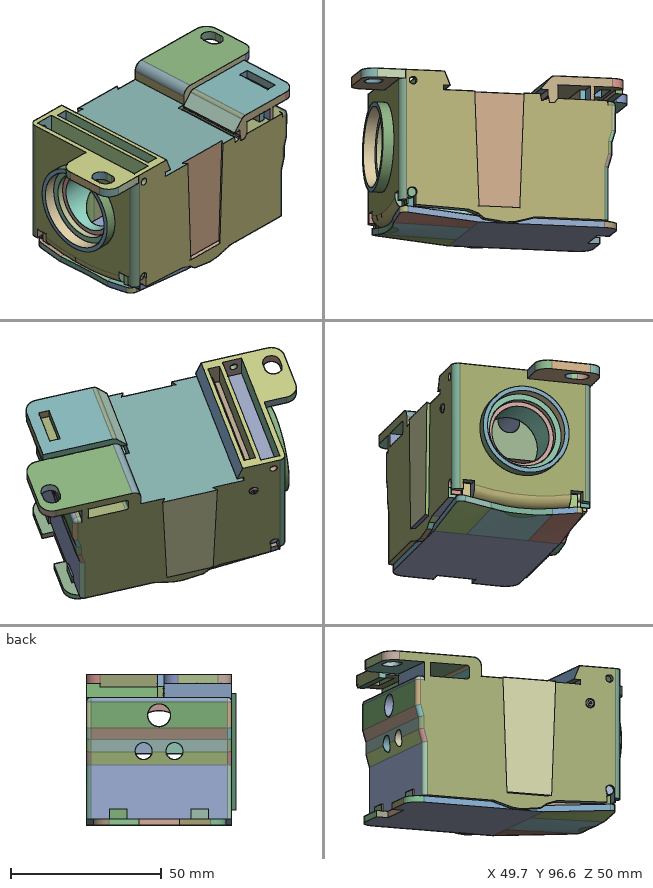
import cadquery as cq

WIDTH = 48.2
LENGTH = 96.6
HEIGHT = 50.0
MID_X = WIDTH / 2
PICK_MARGIN = 0.1
ROOT = 1.0

FRONT_Y = 12.3
RAIL_FLOOR_Z = 43.8
REAR_FLOOR_Z = 42.4
FLANK_BASE_Z = 2.1
FRONT_CORNER_R = 2.2
REAR_EDGE_R = 1.45
REAR_Y_TOP = 85.9
REAR_Y_STEP = 84.7
REAR_Y_LOW = 83.5
REAR_SLOPES_Z = (32.3, 28.5, 24.3, 20.0)
FLANK_FRONT_Z = 4.8
FLANK_BELLY = [(58.25, FLANK_BASE_Z), (51.7, 0.3), (48.3, 0.0), (41.0, 1.0), (38.8, 2.6), (35.4, 3.8)]

RAIL_FRONT_Y = 27.0
RAIL_REAR_Y = 62.6
HOOK_TIP_Z = 45.3
FRONT_HOOK_TIP_Y = 29.4
FRONT_HOOK_TOP_Y = 27.4

LUG_T = 3.0
LUG_CORNER_R = 4.5
LUG_WIDTH = 22.4
LUG_HOLE_LENGTH = 8.0
LUG_HOLE_DIA = 5.8
LUG_HOLE_EDGE_X = 7.5
LUG_HOLE_EDGE_Y = 5.0
LUG_BASE_Z = HEIGHT - LUG_T
REAR_LUG_FILLET = 3.0
REAR_LUG_WALL_Y = 83.1
WINDOW_Y = (66.9, 80.9)
WINDOW_CORNER_R = 1.0

NARROW_POCKET_X = (3.3, 45.0)
NARROW_POCKET_Y = (22.0, 26.0)
NARROW_POCKET_STEP_Y = 24.4
NARROW_POCKET_STEP_DEPTH = 4.8
WIDE_POCKET_X = (1.8, 46.4)
WIDE_POCKET_Y = (14.0, 20.6)
POCKET_DEPTH = 7.7
CROSS_HOLE_DIA = 2.5
CROSS_HOLE_Y = 16.7
CROSS_HOLE_Z = 46.5

ENTRY_Z = 28.0
COLLAR_DIA = 29.9
COLLAR_FRONT_Y = 8.6
CHAMBER_DIA = 18.1
CHAMBER_Y = 27.2
ENTRY_STEPS = ((26.95, 12.6), (23.0, 14.8), (19.9, CHAMBER_Y))
CHAMBER_BACK_Y = 36.7
CHAMBER_Z = (11.1, 23.7)
UPPER_OUTLET_DIA = 7.5
UPPER_OUTLET_Z = 36.5
LOWER_OUTLET_DIA = 5.6
LOWER_OUTLET_Z = 24.6
LOWER_OUTLET_OFFSET = 5.1

DOVETAIL_Y = 46.1
DOVETAIL_DEPTH = 1.45
DOVETAIL_SLOT_DEPTH = 1.5
DOVETAIL_UNDERCUT = 1.1
DOVETAIL_BASE_Z = 5.0
DOVETAIL_HALF_TOP = 9.5
DOVETAIL_HALF_BASE = 8.0

STUD_DIA = 3.1
STUD_Y = 23.7
STUD_Z = 37.6
STUD_HEIGHT = 0.7
STUD_CHAMFER = 0.5
STUD_DIMPLE_DIA = 0.8
STUD_DIMPLE_DEPTH = 0.3

COVER_X = (1.9, 45.9)
COVER_Y = (13.1, 87.6)
COVER_FRONT_R = 2.4
COVER_REAR_R = 5.1
COVER_BEND_Y = 39.6
COVER_T = FLANK_BASE_Z
COVER_SIDE_Z = 2.5
COVER_SHOULDER_Z = 0.7
COVER_SCOOP = 1.0
COVER_NOSE = [(COVER_Y[0], 0.8), (13.9, 0.2), (17.4, 0.0), (COVER_Y[0], 0.0)]
COVER_RECESS_X = (17.4, 30.8)
COVER_SHOULDER_OFFSET = 10.7
COVER_STOP_X = ((7.7, 13.5), (34.7, 40.5))
COVER_STOP_Y = (83.7, 84.2)
COVER_STOP_Z = 5.3

HINGE_POCKET_X = ((3.4, 7.3), (41.0, 45.0))
HINGE_POCKET_TOP_Z = 9.5
HINGE_POCKET_BACK_Y = 18.4
HINGE_ARM_X = ((3.8, 6.6), (41.15, 44.0))
HINGE_ARM_Y = (14.5, 17.8)
HINGE_ARM_TOP_Z = 9.1
HINGE_PIN_DIA = 3.1
HINGE_PIN_Y = 16.4
HINGE_PIN_Z = 8.9
HINGE_PIN_INSET = 1.0
HINGE_NOTCH_Y = (14.9, 17.7)
FRONT_CORNER_BASE_Z = 6.2
FRONT_CORNER_BACK_Y = 14.5
CHIN_RADIUS = 3.9
CHIN_LOW_Z = 2.3
CHIN_ARCH_R = 81.1
CHIN_X = (HINGE_POCKET_X[0][0], HINGE_POCKET_X[1][1])
CHIN_BACK_Y = 48.3
CHIN_TOP_Z = 11.6
COVER_SEAT_Z = 2.0

FOOT_X = 24.6
FOOT_BACK_Y = 89.2
FOOT_TOP_Y = 64.1
FOOT_TIP_Y = 60.0
FOOT_EDGE_R = 2.1
FOOT_LIP_Y = 86.65
FOOT_LIP_Z = 45.8
FOOT_POST_Y = (77.1, 78.4)
FOOT_SLOT_X = (29.8, 42.6)
FOOT_SLOT_Y = (81.7, 85.3)
SEAT_END_Y = 66.0
SEAT_FRONT = [(FOOT_TIP_Y, RAIL_FLOOR_Z), (60.5, 41.5), (62.1, 42.1)]
SEAT_BEARING = [(RAIL_REAR_Y, 43.1), (62.8, 43.1), (63.2, 41.0), (64.8, 41.0), (SEAT_END_Y, REAR_FLOOR_Z)]
SEAT_BACK = [(SEAT_END_Y, RAIL_FLOOR_Z)]
STOP_X = (22.7, 46.4)
STOP_Y = (73.9, 75.9)
STOP_TOP_Z = 46.0


def box(x_range, y_range, z_range):
    """Box between pairs of limits along X, Y and Z."""
    size = [high - low for low, high in (x_range, y_range, z_range)]
    return cq.Workplane().box(*size, centered=False).translate((x_range[0], y_range[0], z_range[0]))


def inside(x_range, y_range, z_range):
    """Selector of the edges whose centres lie within the limits, with a little slack."""
    limits = (x_range, y_range, z_range)
    low = [pair[0] - PICK_MARGIN for pair in limits]
    high = [pair[1] + PICK_MARGIN for pair in limits]
    return cq.selectors.BoxSelector(low, high)


def along_x(points, x_range):
    """Prism along X with the outline given as (Y, Z) points."""
    outline = cq.Workplane("YZ", origin=(x_range[0], 0, 0)).polyline(points).close()
    return outline.extrude(x_range[1] - x_range[0])


def rod_x(diameter, y, z, x_range):
    """Round bar along X."""
    start = cq.Workplane("YZ", origin=(x_range[0], y, z))
    return start.circle(diameter / 2).extrude(x_range[1] - x_range[0])


def rod_y(diameter, x, z, y_range):
    """Round bar along Y."""
    start = cq.Workplane("XZ", origin=(x, y_range[0], z))
    return start.circle(diameter / 2).extrude(y_range[0] - y_range[1])


def lug_hole(x, y):
    """Oblong screw hole through a lug."""
    start = cq.Workplane(origin=(x, y, LUG_BASE_Z))
    return start.slot2D(LUG_HOLE_LENGTH, LUG_HOLE_DIA).extrude(LUG_T)


def cover_section(y, side_z, shoulder_z):
    """Cross-section of the cover: a level middle with straight wings rising to both sides."""
    left, right = COVER_X
    shoulder_left = MID_X - COVER_SHOULDER_OFFSET
    shoulder_right = MID_X + COVER_SHOULDER_OFFSET
    wire = cq.Workplane("XZ", origin=(0, y, 0)).moveTo(left, side_z).lineTo(shoulder_left, shoulder_z)
    if shoulder_z > 0:
        wire = wire.threePointArc((MID_X, 0), (shoulder_right, shoulder_z))
    else:
        wire = wire.lineTo(shoulder_right, shoulder_z)
    wire = wire.lineTo(right, side_z).lineTo(right, side_z + COVER_T)
    wire = wire.lineTo(shoulder_right, shoulder_z + COVER_T)
    if shoulder_z > 0:
        wire = wire.threePointArc((MID_X, COVER_T), (shoulder_left, shoulder_z + COVER_T))
    else:
        wire = wire.lineTo(shoulder_left, shoulder_z + COVER_T)
    return wire.lineTo(left, side_z + COVER_T).close().val()


def cover_outline():
    """Plan outline of the front part: rounded corners and a shallow finger scoop between the wings."""
    blank = box(COVER_X, (COVER_Y[0], COVER_BEND_Y), (0, HEIGHT))
    blank = blank.edges("|Z and <Y").fillet(COVER_FRONT_R)
    scoop_ends = [(MID_X + side * COVER_SHOULDER_OFFSET, COVER_Y[0]) for side in (-1, 1)]
    scoop = cq.Workplane().moveTo(*scoop_ends[0])
    scoop = scoop.threePointArc((MID_X, COVER_Y[0] + COVER_SCOOP), scoop_ends[1]).close()
    return blank.cut(scoop.extrude(HEIGHT))


def make_cover():
    """Cover plate that is flat at the rear and curls up along both sides towards the front."""
    plate = box(COVER_X, (COVER_BEND_Y, COVER_Y[1]), (0, COVER_T))
    plate = plate.edges("|Z and >Y").fillet(COVER_REAR_R)
    plate = plate.cut(box(COVER_RECESS_X, (REAR_Y_LOW, COVER_Y[1]), (0, COVER_T)))
    sections = [
        cover_section(COVER_Y[0], COVER_SIDE_Z, COVER_SHOULDER_Z),
        cover_section(COVER_BEND_Y, 0, 0),
    ]
    front = cq.Workplane(cq.Solid.makeLoft(sections, True)).intersect(cover_outline())
    front = front.cut(along_x(COVER_NOSE, COVER_X))
    cover = plate.union(front)
    for stop_x in COVER_STOP_X:
        cover = cover.union(box(stop_x, COVER_STOP_Y, (0, COVER_STOP_Z)))
    for arm_x in HINGE_ARM_X:
        cover = cover.union(box(arm_x, HINGE_ARM_Y, (COVER_SIDE_Z, HINGE_ARM_TOP_Z)))
    pin_spans = ((HINGE_PIN_INSET, HINGE_ARM_X[0][1]), (HINGE_ARM_X[1][0], WIDTH - HINGE_PIN_INSET))
    for pin_x in pin_spans:
        cover = cover.union(rod_x(HINGE_PIN_DIA, HINGE_PIN_Y, HINGE_PIN_Z, pin_x))
    return cover


def housing_block():
    """Main block: a side profile with the front wall, the rail channel and the stepped rear face."""
    profile = [
        (FRONT_Y, FLANK_FRONT_Z),
        (FRONT_Y, HEIGHT),
        (FRONT_HOOK_TOP_Y, HEIGHT),
        (FRONT_HOOK_TIP_Y, HOOK_TIP_Z),
        (RAIL_FRONT_Y, HOOK_TIP_Z),
        (RAIL_FRONT_Y, RAIL_FLOOR_Z),
        (RAIL_REAR_Y, RAIL_FLOOR_Z),
        (RAIL_REAR_Y, REAR_FLOOR_Z),
        (REAR_Y_TOP, REAR_FLOOR_Z),
        (REAR_Y_TOP, REAR_SLOPES_Z[0]),
        (REAR_Y_STEP, REAR_SLOPES_Z[1]),
        (REAR_Y_STEP, REAR_SLOPES_Z[2]),
        (REAR_Y_LOW, REAR_SLOPES_Z[3]),
        (REAR_Y_LOW, FLANK_BASE_Z),
        *FLANK_BELLY,
    ]
    block = along_x(profile, (0, WIDTH))
    block = block.edges("|Z and <Y").fillet(FRONT_CORNER_R)
    rear_edges = inside((0, WIDTH), (REAR_Y_LOW, REAR_Y_TOP), (FLANK_BASE_Z + 2 * PICK_MARGIN, HEIGHT))
    block = block.faces(">X or <X").edges(rear_edges).edges("not |Y").fillet(REAR_EDGE_R)
    rear_top = inside((0, WIDTH), (REAR_Y_TOP, REAR_Y_TOP), (REAR_FLOOR_Z, REAR_FLOOR_Z))
    block = block.edges(rear_top).fillet(REAR_EDGE_R)
    floor_z = (REAR_FLOOR_Z - REAR_EDGE_R, REAR_FLOOR_Z)
    square_floor = box((0, WIDTH), (RAIL_REAR_Y, REAR_LUG_WALL_Y), floor_z)
    return block.union(square_floor)


def add_chin(housing):
    """Rounded lip arched over the cover at the front, and the floor behind it that seats on the cover."""
    space = box(CHIN_X, (FRONT_Y, CHIN_BACK_Y), (0, CHIN_TOP_Z))
    floor = box(CHIN_X, (HINGE_POCKET_BACK_Y, CHIN_BACK_Y), (COVER_SEAT_Z, CHIN_TOP_Z))
    arch = rod_y(2 * CHIN_ARCH_R, MID_X, CHIN_LOW_Z + CHIN_ARCH_R, (FRONT_Y, CHIN_BACK_Y))
    chin = space.intersect(arch)
    front_low = inside(CHIN_X, (FRONT_Y, FRONT_Y), (0, CHIN_TOP_Z / 2))
    chin = chin.edges(front_low).edges("not |Z").fillet(CHIN_RADIUS)
    return housing.cut(space).union(chin).union(floor)


def add_lugs(housing):
    """Front right and rear left mounting lugs; the rear one stands on a leg with a window."""
    front = box((WIDTH - LUG_WIDTH, WIDTH), (0, WIDE_POCKET_Y[0]), (LUG_BASE_Z, HEIGHT))
    front = front.edges("|Z and <Y").fillet(LUG_CORNER_R)
    plate = box((0, LUG_WIDTH), (REAR_LUG_WALL_Y - LUG_T, LENGTH), (LUG_BASE_Z, HEIGHT))
    plate = plate.edges("|Z and >Y").fillet(LUG_CORNER_R)
    leg = box((0, LUG_WIDTH), (RAIL_REAR_Y, REAR_LUG_WALL_Y), (REAR_FLOOR_Z, HEIGHT))
    leg = leg.edges("|X and <Y and >Z").fillet(REAR_LUG_FILLET)
    window = box((0, LUG_WIDTH), WINDOW_Y, (REAR_FLOOR_Z, LUG_BASE_Z))
    window = window.edges("|X and <Y").fillet(WINDOW_CORNER_R)
    housing = housing.union(front).union(leg.union(plate).cut(window))
    hole_places = (
        (LUG_HOLE_EDGE_X, LENGTH - LUG_HOLE_EDGE_Y),
        (WIDTH - LUG_HOLE_EDGE_X, LUG_HOLE_EDGE_Y),
    )
    for x, y in hole_places:
        housing = housing.cut(lug_hole(x, y))
    return housing


def cut_top_pockets(housing):
    """Two pockets in the top of the front wall and the small hole across it."""
    pocket_base = HEIGHT - POCKET_DEPTH
    housing = housing.cut(box(WIDE_POCKET_X, WIDE_POCKET_Y, (pocket_base, HEIGHT)))
    deep_y = (NARROW_POCKET_Y[0], NARROW_POCKET_STEP_Y)
    housing = housing.cut(box(NARROW_POCKET_X, deep_y, (pocket_base, HEIGHT)))
    step_base = HEIGHT - NARROW_POCKET_STEP_DEPTH
    housing = housing.cut(box(NARROW_POCKET_X, NARROW_POCKET_Y, (step_base, HEIGHT)))
    return housing.cut(rod_x(CROSS_HOLE_DIA, CROSS_HOLE_Y, CROSS_HOLE_Z, (0, WIDTH)))


def cut_cable_path(housing):
    """Collared cable entry stepping down to a chamber, with three outlets through the rear face."""
    housing = housing.union(rod_y(COLLAR_DIA, MID_X, ENTRY_Z, (COLLAR_FRONT_Y, FRONT_Y + ROOT)))
    for diameter, end_y in ENTRY_STEPS:
        housing = housing.cut(rod_y(diameter, MID_X, ENTRY_Z, (COLLAR_FRONT_Y, end_y)))
    chamber = cq.Workplane(origin=(MID_X, CHAMBER_Y, CHAMBER_Z[0])).circle(CHAMBER_DIA / 2)
    housing = housing.cut(chamber.extrude(CHAMBER_Z[1] - CHAMBER_Z[0]))
    chamber_x = (MID_X - CHAMBER_DIA / 2, MID_X + CHAMBER_DIA / 2)
    housing = housing.cut(box(chamber_x, (CHAMBER_Y, CHAMBER_BACK_Y), CHAMBER_Z))
    housing = housing.cut(rod_y(UPPER_OUTLET_DIA, MID_X, UPPER_OUTLET_Z, (CHAMBER_Y, LENGTH)))
    for side in (-1, 1):
        x = MID_X + side * LOWER_OUTLET_OFFSET
        housing = housing.cut(rod_y(LOWER_OUTLET_DIA, x, LOWER_OUTLET_Z, (CHAMBER_BACK_Y, LENGTH)))
    return housing


def dovetail(mouth_x, depth):
    """Tapered dovetail that widens upwards and away from its mouth, towards -X."""
    sections = []
    for z, half in ((DOVETAIL_BASE_Z, DOVETAIL_HALF_BASE), (RAIL_FLOOR_Z, DOVETAIL_HALF_TOP)):
        neck = half - DOVETAIL_UNDERCUT
        points = [
            (mouth_x, DOVETAIL_Y - neck),
            (mouth_x, DOVETAIL_Y + neck),
            (mouth_x - depth, DOVETAIL_Y + half),
            (mouth_x - depth, DOVETAIL_Y - half),
        ]
        sections.append(cq.Workplane(origin=(0, 0, z)).polyline(points).close().val())
    return cq.Workplane(cq.Solid.makeLoft(sections, True))


def add_stud(housing):
    """Small chamfered locating stud with a dimple in its end."""
    stud = rod_x(STUD_DIA, STUD_Y, STUD_Z, (-STUD_HEIGHT, ROOT)).faces("<X").chamfer(STUD_CHAMFER)
    dimple = rod_x(STUD_DIMPLE_DIA, STUD_Y, STUD_Z, (-STUD_HEIGHT, STUD_DIMPLE_DEPTH - STUD_HEIGHT))
    return housing.union(stud).cut(dimple)


def cut_hinge_seats(housing):
    """Pockets for the hinge arms, with pin holes and entry notches through the flanks."""
    for pocket_x in HINGE_POCKET_X:
        housing = housing.cut(box(pocket_x, (FRONT_Y, HINGE_POCKET_BACK_Y), (0, HINGE_POCKET_TOP_Z)))
    for flank_x in ((0, CHIN_X[0]), (CHIN_X[1], WIDTH)):
        housing = housing.cut(rod_x(HINGE_PIN_DIA, HINGE_PIN_Y, HINGE_PIN_Z, flank_x))
        housing = housing.cut(box(flank_x, HINGE_NOTCH_Y, (0, HINGE_PIN_Z)))
        housing = housing.cut(box(flank_x, (FRONT_Y, FRONT_CORNER_BACK_Y), (0, FRONT_CORNER_BASE_Z)))
    return housing


def shape_foot_seat(housing):
    """Lowered floor and sloped groove that carry the rail foot, and the stop behind it."""
    foot_side = (LUG_WIDTH, WIDTH)
    housing = housing.cut(along_x(SEAT_FRONT + SEAT_BEARING + SEAT_BACK, foot_side))
    return housing.union(box(STOP_X, STOP_Y, (REAR_FLOOR_Z, STOP_TOP_Z)))


def make_housing(cover):
    """Housing with all its features, recessed wherever the cover lies against it."""
    housing = add_chin(housing_block())
    housing = add_lugs(housing)
    housing = cut_top_pockets(housing)
    housing = cut_cable_path(housing)
    housing = housing.union(dovetail(0, DOVETAIL_DEPTH))
    housing = housing.cut(dovetail(WIDTH, DOVETAIL_SLOT_DEPTH))
    housing = add_stud(housing)
    housing = cut_hinge_seats(housing)
    housing = shape_foot_seat(housing)
    return housing.cut(cover)


def make_foot():
    """Rail foot: a plate with a hooked front leg, a rear lip and a thin post, slotted for a tool."""
    x_range = (FOOT_X, WIDTH)
    plate = box(x_range, (SEAT_END_Y, FOOT_BACK_Y), (LUG_BASE_Z, HEIGHT))
    plate = plate.edges("|Z and >Y and >X").fillet(LUG_CORNER_R)
    hook_profile = [
        (SEAT_END_Y, HEIGHT),
        (FOOT_TOP_Y, HEIGHT),
        (FOOT_TIP_Y, HOOK_TIP_Z),
        (RAIL_REAR_Y, HOOK_TIP_Z),
        *SEAT_BEARING,
    ]
    hook = along_x(hook_profile, x_range)
    post = box(x_range, FOOT_POST_Y, (REAR_FLOOR_Z, HEIGHT))
    lip = box((FOOT_X, WIDTH - LUG_CORNER_R), (FOOT_LIP_Y, FOOT_BACK_Y), (FOOT_LIP_Z, HEIGHT))
    foot = plate.union(hook).union(post).union(lip)
    front_edge = inside(x_range, (FOOT_TOP_Y, FOOT_TOP_Y), (HEIGHT, HEIGHT))
    foot = foot.edges(front_edge).edges("|X").fillet(FOOT_EDGE_R)
    return foot.cut(box(FOOT_SLOT_X, FOOT_SLOT_Y, (LUG_BASE_Z, HEIGHT)))


cover = make_cover()
housing = make_housing(cover)
foot = make_foot()

result = cq.Compound.makeCompound([*housing.solids().vals(), *cover.solids().vals(), *foot.solids().vals()])